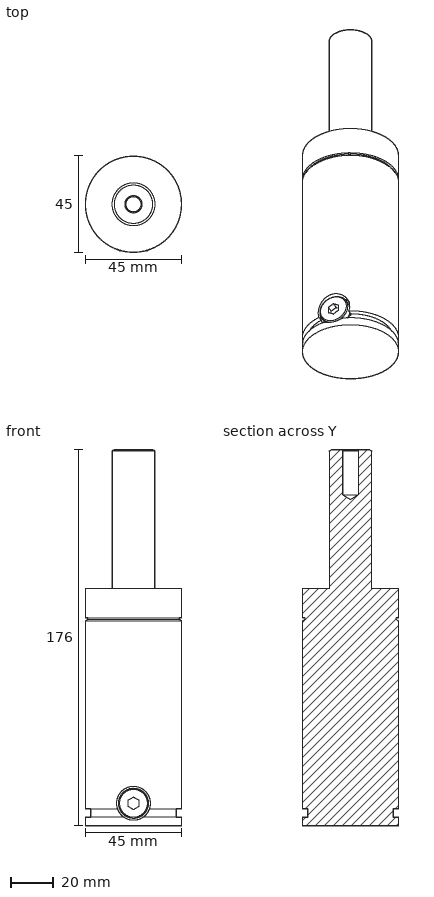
import cadquery as cq

total_height = 176.0
body_radius = 22.5
body_height = 111.0
rod_radius = 10.0
rod_chamfer_radial = 1.0
rod_chamfer_height = 0.5

foot_height = 4.0
foot_groove_width = 3.9
foot_groove_depth = 2.5

cap_height = 13.7
cap_groove_width = 1.4
cap_groove_floor_width = 0.7
cap_groove_depth = 1.0

rod_hole_radius = 3.5
rod_hole_depth = 21.1
rod_hole_mouth_radius = 4.0
drill_tip_height = 2.1

plug_height = 10.5
plug_radius = 7.0
plug_chamfer = 0.5
plug_recess = 0.7
seat_radius = 8.0
seat_depth = 4.4
socket_across_corners = 5.8
socket_depth = 3.5


def cylinder(radius, bottom, height):
    return cq.Workplane("XY").workplane(offset=bottom).circle(radius).extrude(height)


def revolved(profile):
    """Solid of revolution about Z from (radius, height) points."""
    return cq.Workplane("XZ").polyline(profile).close().revolve(360, (0, 0), (0, 1))


def foot_groove():
    """Ring that cuts a square groove above the foot."""
    floor_radius = body_radius - foot_groove_depth
    ring = cylinder(body_radius, foot_height, foot_groove_width)
    return ring.cut(cylinder(floor_radius, foot_height, foot_groove_width))


def cap_groove():
    """Ring under the cap with a narrow floor and a sloping lower side."""
    top = body_height - cap_height
    floor_radius = body_radius - cap_groove_depth
    profile = [
        (floor_radius, top),
        (body_radius, top),
        (body_radius, top - cap_groove_width),
        (floor_radius, top - cap_groove_floor_width),
    ]
    return revolved(profile)


def front_plane(depth):
    """Sketch plane on the plug axis, below the front of the body, facing -Y."""
    return cq.Workplane("XZ", origin=(0, depth - body_radius, plug_height))


def rod():
    shoulder = total_height - rod_chamfer_height
    profile = [
        (0, 0),
        (rod_radius, 0),
        (rod_radius, shoulder),
        (rod_radius - rod_chamfer_radial, total_height),
        (0, total_height),
    ]
    return revolved(profile)


def rod_hole():
    """Chamfered blind hole with a conical bottom."""
    mouth_chamfer = rod_hole_mouth_radius - rod_hole_radius
    floor = total_height - rod_hole_depth
    profile = [
        (0, floor - drill_tip_height),
        (rod_hole_radius, floor),
        (rod_hole_radius, total_height - mouth_chamfer),
        (rod_hole_mouth_radius, total_height),
        (0, total_height),
    ]
    return revolved(profile)


def plug_seat():
    """Round recess, deeper than the foot groove, that leaves a gap around the plug."""
    return front_plane(seat_depth).circle(seat_radius).extrude(seat_depth)


def plug():
    """Chamfered round plug with a hexagon socket."""
    plug_length = body_radius / 2
    body = front_plane(plug_recess + plug_length).circle(plug_radius).extrude(plug_length)
    body = body.faces("<Y").chamfer(plug_chamfer)
    socket = (
        front_plane(plug_recess + socket_depth)
        .transformed(rotate=(0, 0, 90))
        .polygon(6, socket_across_corners)
        .extrude(socket_depth)
    )
    return body, socket


plug_body, plug_socket = plug()

result = cylinder(body_radius, 0, body_height).union(rod())
result = result.cut(foot_groove())
result = result.cut(cap_groove())
result = result.cut(rod_hole())
result = result.cut(plug_seat()).union(plug_body).cut(plug_socket)